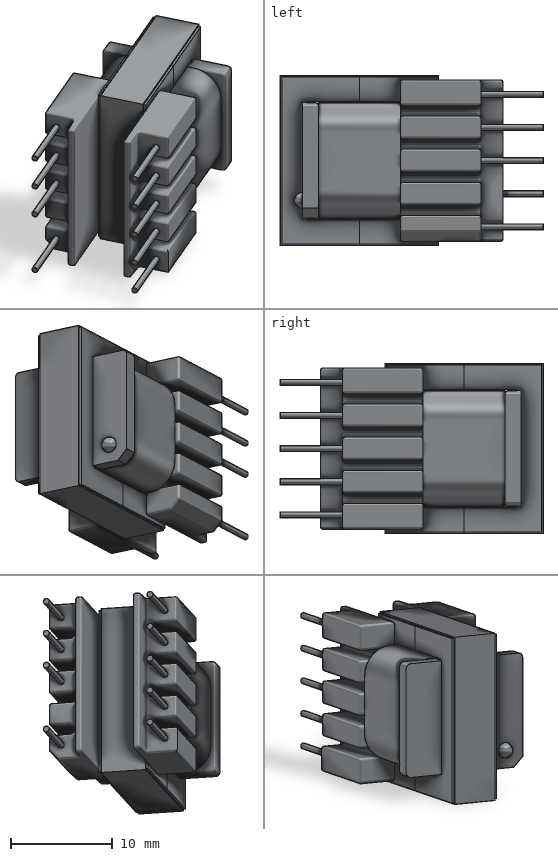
import cadquery as cq


core_width = 5.0
core_half_length = 7.63
core_half_height = 8.22
window_depth = 5.15
window_half_height = 5.8
centre_leg_half_height = 2.22

tape_width = 4.5
tape_half_length = 7.78
tape_height = 16.73
tape_half_height = tape_height / 2

bobbin_width = 13.0
bobbin_half_width = bobbin_width / 2
core_clearance = 0.05
slot_half_width = core_width / 2 + core_clearance
edge_radius = 0.25
marking_chamfer = 1.0

tube_wall = 0.57
tube_inner_half_height = centre_leg_half_height + core_clearance
tube_half_width = slot_half_width + tube_wall
tube_half_height = tube_inner_half_height + tube_wall

winding_depth = 2.85
winding_half_length = 4.03
winding_half_width = tube_half_width + winding_depth
winding_half_height = tube_half_height + winding_depth

flange_half_height = 5.7
flange_back = 5.6
flange_corner_radius = 0.5
plate_end = 4.78

dot_radius = 0.78
dot_x = -4.5
dot_z = -3.9

block_front = -11.95
block_half_height = 7.95
skirt_front = -14.12
skirt_tip_thickness = 0.75
skirt_root_thickness = 0.88

pin_pitch = 3.25
groove_width = 1.0
outer_gaps = (-1.5, 1.5)
inner_gaps = (-0.5, 0.5)
outer_groove_depth = 2.55
inner_groove_depth = bobbin_half_width - slot_half_width - skirt_root_thickness

pin_diameter = 0.6
pin_x = 5.25
overall_length = 25.85
pin_tip = tape_half_length - overall_length
pin_rows = (-2, -1, 0, 1, 2)
missing_pin = (-1, -1)


def box(x_range, y_range, z_range):
    """A box between the two given values on each axis."""
    return (
        cq.Workplane("XY")
        .box(
            x_range[1] - x_range[0],
            y_range[1] - y_range[0],
            z_range[1] - z_range[0],
            centered=False,
        )
        .translate((x_range[0], y_range[0], z_range[0]))
    )


def centred_box(half_width, y_range, half_height):
    """A box centred on the Y axis."""
    return box((-half_width, half_width), y_range, (-half_height, half_height))


def core_half(side):
    """One E-shaped core half, from Y = 0 towards +Y (side 1) or -Y (side -1)."""
    half_width = core_width / 2
    half = centred_box(half_width, (0, core_half_length), core_half_height)
    half = half.cut(centred_box(half_width, (0, window_depth), window_half_height))
    leg = centred_box(half_width, (0, window_depth), centre_leg_half_height)
    half = half.union(leg)
    return half if side > 0 else half.mirror("XZ")


def make_tape():
    """A flat band that goes once round the outside of both core halves."""
    half_width = tape_width / 2
    outer = centred_box(half_width, (-tape_half_length, tape_half_length), tape_half_height)
    inner = centred_box(half_width, (-core_half_length, core_half_length), core_half_height)
    return outer.cut(inner)


def make_winding():
    """Rounded coil on the bobbin tube, between the flange and the pin blocks."""
    y_range = (-winding_half_length, winding_half_length)
    coil = centred_box(winding_half_width, y_range, winding_half_height)
    coil = coil.edges("|Y").fillet(winding_depth)
    return coil.cut(centred_box(tube_half_width, y_range, tube_half_height))


def cut_marking_corner(body, half_height):
    """Slant the corner at -X, -Z of a body with the given half height."""
    corner = (
        cq.Workplane("XZ")
        .moveTo(-bobbin_half_width, -half_height)
        .lineTo(-bobbin_half_width + marking_chamfer, -half_height)
        .lineTo(-bobbin_half_width, -half_height + marking_chamfer)
        .close()
        .extrude(overall_length, both=True)
    )
    return body.cut(corner)


def make_flange():
    """End plate of the bobbin, notched at the back for the core."""
    flange = centred_box(bobbin_half_width, (winding_half_length, flange_back), flange_half_height)
    flange = flange.edges("|Y").edges(">X or >Z").fillet(flange_corner_radius)
    flange = cut_marking_corner(flange, flange_half_height)
    flange = flange.faces("<Y").edges().fillet(edge_radius)
    notch = centred_box(slot_half_width, (plate_end, flange_back), flange_half_height)
    return flange.cut(notch)


def groove(side, row_gap, depth):
    """Cutter for a round-bottomed groove along Y, centred between two pin rows."""
    y_length = -winding_half_length - block_front + edge_radius
    cutter = cq.Workplane("XZ").slot2D(2 * depth, groove_width).extrude(y_length)
    return cutter.translate((side * bobbin_half_width, -winding_half_length, row_gap * pin_pitch))


def sharp_edge_selector():
    """Selects the lowest front outer edge of the +X pin block, which stays sharp."""
    margin = edge_radius / 2
    lowest_groove = min(outer_gaps) * pin_pitch
    return cq.selectors.BoxSelector(
        (bobbin_half_width - margin, block_front - margin, -block_half_height),
        (bobbin_half_width + margin, block_front + margin, lowest_groove),
    )


def make_pin_block(side):
    """Grooved block that carries one column of pins, with a thin skirt beside the core."""
    inner = slot_half_width
    outline = [
        (bobbin_half_width, -winding_half_length),
        (inner, -winding_half_length),
        (inner, skirt_front),
        (inner + skirt_tip_thickness, skirt_front),
        (inner + skirt_root_thickness, block_front),
        (bobbin_half_width, block_front),
    ]
    block = (
        cq.Workplane("XY")
        .polyline([(side * x, y) for x, y in outline])
        .close()
        .extrude(block_half_height, both=True)
    )
    if side < 0:
        block = cut_marking_corner(block, block_half_height)
    for row_gap in outer_gaps:
        block = block.cut(groove(side, row_gap, outer_groove_depth))
    for row_gap in inner_gaps:
        block = block.cut(groove(side, row_gap, inner_groove_depth))
    rounded_edges = block.edges()
    if side > 0:
        rounded_edges = block.edges(-sharp_edge_selector())
    return rounded_edges.fillet(edge_radius)


def make_pin(side, row):
    """Round pin on the front of a pin block."""
    pin = cq.Workplane("XZ").circle(pin_diameter / 2).extrude(block_front - pin_tip)
    return pin.translate((side * pin_x, block_front, row * pin_pitch))


def make_bobbin():
    """Tube, flange, pin blocks, dot and pins in one piece."""
    bobbin = make_flange()
    bobbin = bobbin.union(centred_box(tube_half_width, (-plate_end, plate_end), tube_half_height))
    plate = centred_box(tube_half_width, (-plate_end, -winding_half_length), flange_half_height)
    bobbin = bobbin.union(plate)
    for side in (-1, 1):
        bobbin = bobbin.union(make_pin_block(side))
        for row in pin_rows:
            if (side, row) != missing_pin:
                bobbin = bobbin.union(make_pin(side, row))
    dot = cq.Workplane("XY").sphere(dot_radius).translate((dot_x, flange_back, dot_z))
    bobbin = bobbin.union(dot)
    leg_hole = centred_box(slot_half_width, (-plate_end, plate_end), tube_inner_half_height)
    return bobbin.cut(leg_hole)


core_halves = [core_half(side) for side in (-1, 1)]
tape = make_tape()
winding = make_winding()
bobbin = make_bobbin()

core_solids = [half.val() for half in core_halves]
result = cq.Compound.makeCompound([*core_solids, tape.val(), winding.val(), bobbin.val()])